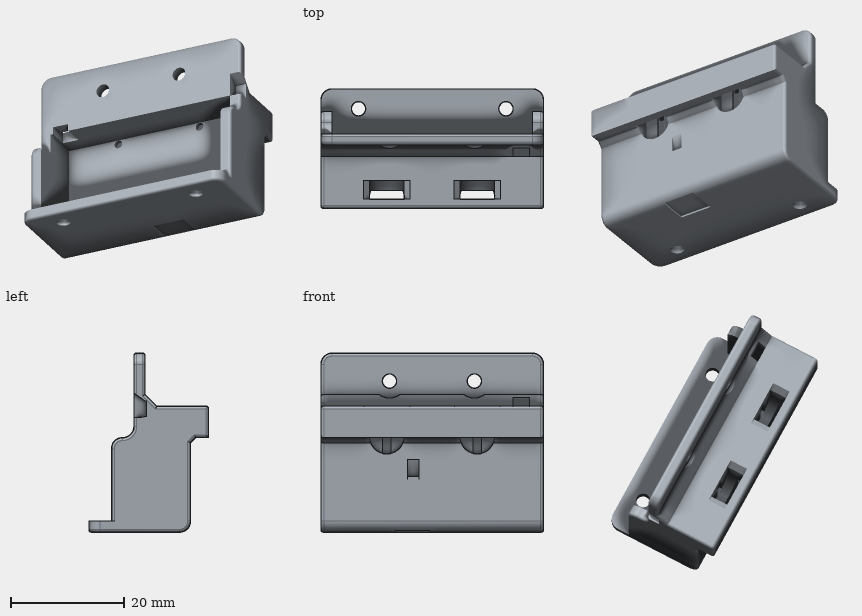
import cadquery as cq
import math

width = 39.4
depth = 21.2
height = 31.7

wall = 2.0
corner_radius = wall
edge_radius = 0.5

body_front = 3.2
plate_back = 13.25
plate_front = plate_back - wall
body_back = depth - 2 * wall
overhang_bottom = 16.75
overhang_top = 22.35
overhang_chamfer = 0.9
slope_start = 9.2
slope_rise = plate_front - slope_start
shoulder_height = 16.75

cavity_front = 5.9
cavity_roof = overhang_top - wall

screw_hole_diameter = 2.5
plate_hole_xs = (12.15, 27.15)
plate_hole_z = 26.75
screw_head_radius = 3.0
base_hole_inset = 6.65
base_hole_y = 17.65

slot_xs = (11.65, 27.65)
slot_front = 1.7
slot_back = 4.95
slot_width = 6.1
slot_mouth_width = 8.27
slot_round_z = 16.95
pin_diameter = 1.5
pin_z = 19.55
pin_groove_depth = 0.5

opening_x = 33.95
opening_width = 2.95
opening_length = 1.5
opening_exit_top = 21.67

passage_x = 15.3
passage_width = 2.05
passage_top = 12.85
passage_height = 2.95
passage_steepness = 2.7

recess_x = 13.12
recess_width = 6.15
recess_depth = 0.3

notch_front = 10.95
notch_floor_front = 20.5
notch_floor_back = 20.3
notch_roof_front = 23.2
notch_roof_back = 24.62


def box(x0, x1, y0, y1, z0, z1):
    return cq.Workplane("XY").box(x1 - x0, y1 - y0, z1 - z0, centered=False).translate((x0, y0, z0))


def cylinder_y(x, z, radius, y0, y1):
    return cq.Workplane("XZ", origin=(x, y0, z)).circle(radius).extrude(y0 - y1)


def make_body():
    """Body, overhang and upright plate as one side outline, standing on the base."""
    quarter = corner_radius * math.sin(math.pi / 4)
    crest_y = plate_back + corner_radius
    body = (
        cq.Workplane("YZ")
        .moveTo(body_front, wall)
        .lineTo(body_front, overhang_bottom - overhang_chamfer)
        .lineTo(body_front - overhang_chamfer, overhang_bottom)
        .lineTo(0, overhang_bottom)
        .lineTo(0, overhang_top)
        .lineTo(slope_start, overhang_top)
        .lineTo(plate_front, overhang_top + slope_rise)
        .lineTo(plate_front, height)
        .lineTo(plate_back, height)
        .lineTo(plate_back, shoulder_height + corner_radius)
        .threePointArc(
            (crest_y - quarter, shoulder_height + corner_radius - quarter),
            (crest_y, shoulder_height),
        )
        .threePointArc(
            (crest_y + quarter, shoulder_height - corner_radius + quarter),
            (body_back, shoulder_height - corner_radius),
        )
        .lineTo(body_back, wall)
        .close()
        .extrude(width)
    )
    body = body.cut(box(
        width - wall, width,
        plate_back, crest_y,
        shoulder_height, shoulder_height + corner_radius,
    ))
    body = body.edges("|Y and >Z").fillet(corner_radius)

    side_outline = body.faces("<X or >X").edges("not <Z")
    plate_top = body.faces("|Y").edges("|X and >Z")
    plate_corners = body.edges("%CIRCLE").edges(">Z")
    overhang_edge = body.faces("<Y").edges("|X and >Z")
    rounded_edges = side_outline.add(plate_top).add(plate_corners).add(overhang_edge)
    return rounded_edges.fillet(edge_radius)


def make_base():
    """Base plate with a rounded front edge, rounded rear corners and a rounded lower rim."""
    base = (
        cq.Workplane("YZ")
        .moveTo(body_front + corner_radius, 0)
        .radiusArc((body_front, corner_radius), corner_radius)
        .lineTo(depth, wall)
        .lineTo(depth, 0)
        .close()
        .extrude(width)
    )
    base = base.edges("|Z and >Y").fillet(corner_radius)
    lower_rim = base.faces("<Z").edges("not (|X and <Y)")
    front_arcs = base.faces("<X or >X").edges("%CIRCLE")
    return lower_rim.add(front_arcs).fillet(edge_radius)


def make_cavity():
    """Hollow between the side walls, open at the back."""
    return box(wall, width - wall, cavity_front, depth, wall, cavity_roof)


def make_overhang_slot(x):
    """Slot with a flared mouth and a round bottom, a pin hole and a groove in its rear wall."""
    slot_depth = slot_back - slot_front
    flare = (slot_mouth_width - slot_width) / 2
    radius = slot_width / 2
    slot = box(x - radius, x + radius, slot_front, slot_back, slot_round_z, overhang_top)
    round_bottom = cylinder_y(x, slot_round_z, radius, slot_front, slot_back)
    mouth = (
        cq.Workplane("XZ", origin=(x, slot_back, overhang_top))
        .polyline([(-radius - flare, 0), (radius + flare, 0), (radius, -flare), (-radius, -flare)])
        .close()
        .extrude(slot_depth)
    )
    pin_radius = pin_diameter / 2
    pin_hole = cylinder_y(x, pin_z, pin_radius, slot_back, cavity_front)
    groove = box(
        x - pin_radius, x + pin_radius,
        slot_back, slot_back + pin_groove_depth,
        slot_round_z - radius, pin_z,
    )
    return slot.union(round_bottom).union(mouth).union(pin_hole).union(groove)


def make_plate_hole(x):
    """Screw hole through the plate, with room for the screw head in front of it."""
    hole = cylinder_y(x, plate_hole_z, screw_hole_diameter / 2, 0, plate_back)
    return hole.union(cylinder_y(x, plate_hole_z, screw_head_radius, slope_start, plate_front))


def make_base_hole(x):
    return cq.Workplane("XY").center(x, base_hole_y).circle(screw_hole_diameter / 2).extrude(wall)


def make_passage():
    """Channel that drops steeply backwards through the front wall into the cavity."""
    run = cavity_front - body_front
    drop = run * passage_steepness
    return (
        cq.Workplane("YZ", origin=(passage_x, 0, 0))
        .moveTo(body_front, passage_top)
        .lineTo(body_front + run, passage_top - drop)
        .lineTo(body_front + run, passage_top - drop - passage_height)
        .lineTo(body_front, passage_top - passage_height)
        .close()
        .extrude(passage_width)
    )


def make_side_notch():
    return (
        cq.Workplane("YZ")
        .moveTo(notch_front, notch_floor_front)
        .lineTo(notch_front, notch_roof_front)
        .lineTo(plate_front, notch_roof_front)
        .lineTo(plate_back, notch_roof_back)
        .lineTo(plate_back, notch_floor_back)
        .close()
        .extrude(wall)
    )


def make_slope_opening():
    """Square opening down into the cavity, joined to a low way out under the plate."""
    opening_end = opening_x + opening_width
    opening = box(
        opening_x, opening_end,
        slope_start, slope_start + opening_length,
        cavity_roof, overhang_top + slope_rise,
    )
    rear_exit = box(opening_x, opening_end, slope_start, plate_back, cavity_roof, opening_exit_top)
    return opening.union(rear_exit)


result = make_body().union(make_base())
result = result.cut(make_cavity())
for slot_x in slot_xs:
    result = result.cut(make_overhang_slot(slot_x))
for hole_x in plate_hole_xs:
    result = result.cut(make_plate_hole(hole_x))
for hole_x in (base_hole_inset, width - base_hole_inset):
    result = result.cut(make_base_hole(hole_x))
result = result.cut(make_passage())
result = result.cut(make_side_notch())
result = result.cut(make_slope_opening())

result = result.cut(box(
    recess_x, recess_x + recess_width,
    body_front, body_front + recess_width,
    0, recess_depth,
))